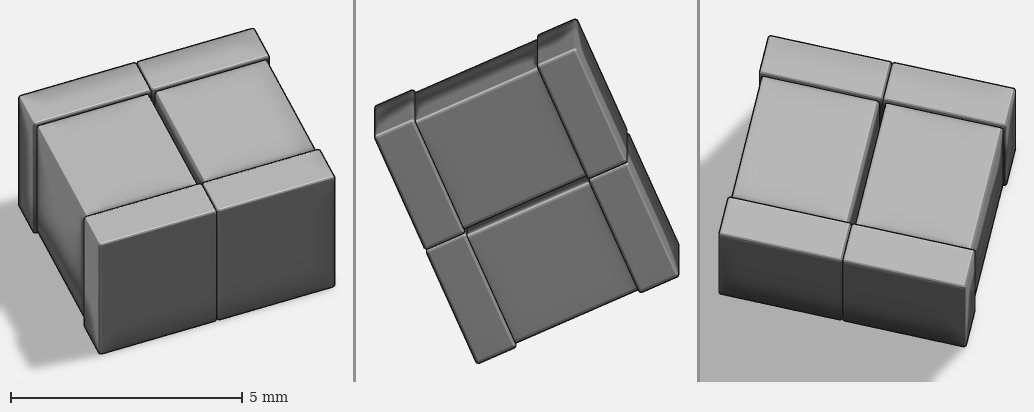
import cadquery as cq

LENGTH = 4.8
WIDTH = 5.5
HEIGHT = 3.5

CHIP_COUNT = 2
CHIP_WIDTH = WIDTH / CHIP_COUNT

TERMINAL_LENGTH = 0.95
EDGE_RADIUS = 0.07
CORE_INSET = 0.07

CORE_LENGTH = LENGTH - 2 * TERMINAL_LENGTH
CORE_WIDTH = CHIP_WIDTH - 2 * CORE_INSET
CORE_HEIGHT = HEIGHT - 2 * CORE_INSET

CHIP_CENTERS_Y = [(i - (CHIP_COUNT - 1) / 2) * CHIP_WIDTH for i in range(CHIP_COUNT)]
TERMINAL_OFFSET_X = (LENGTH - TERMINAL_LENGTH) / 2


def make_core(center_y):
    """Plain block between the terminals, rounded along its four long edges."""
    core = cq.Workplane("XY").box(CORE_LENGTH, CORE_WIDTH, CORE_HEIGHT)
    return core.edges("|X").fillet(EDGE_RADIUS).translate((0, center_y, 0))


def make_end_cap(center_y):
    """Part of a terminal that covers the end of one chip, rounded on every edge."""
    cap = cq.Workplane("XY").box(TERMINAL_LENGTH, CHIP_WIDTH, HEIGHT)
    return cap.edges().fillet(EDGE_RADIUS).translate((0, center_y, 0))


def make_terminal(center_x):
    """One piece across all chips: end caps joined where their flat sides meet."""
    terminal = make_end_cap(CHIP_CENTERS_Y[0])
    for center_y in CHIP_CENTERS_Y[1:]:
        terminal = terminal.union(make_end_cap(center_y))
    return terminal.translate((center_x, 0, 0))


cores = [make_core(center_y) for center_y in CHIP_CENTERS_Y]
terminals = [make_terminal(side * TERMINAL_OFFSET_X) for side in (-1, 1)]

result = cq.Compound.makeCompound([body.val() for body in cores + terminals])